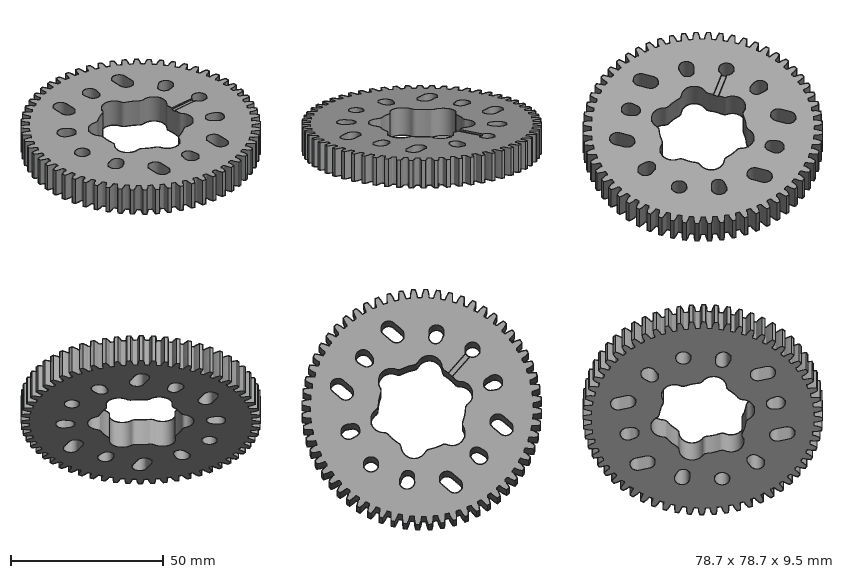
import cadquery as cq
import math

outer_size = 78.7
face_width = 9.5
teeth = 60
pressure_angle = math.radians(14.5)
addendum_factor = 1.0
clearance_factor = 0.16
flank_steps = 4

lobe_count = 6
bore_minor_radius = 14.3
bore_major_radius = 17.5
lobe_radius = 4.25
lobe_blend_radius = 2.0

bolt_circle_radius = 25.4
bolt_hole_radius = 2.5
slot_travel = 3.4
tapered_hole_spacing = 60
tapered_hole_inner_radius = 2.2
tapered_hole_inner_offset = 23.85

groove_width = 1.7
groove_depth = 0.55


def polar(radius, angle):
    return (radius * math.cos(angle), radius * math.sin(angle))


def involute(angle):
    return math.tan(angle) - angle


def gear_blank():
    """Involute gear with a tooth gap centred on each axis."""
    tooth_pitch = 2 * math.pi / teeth
    tip_ratio = 1 + 2 * addendum_factor / teeth
    base_half_angle = tooth_pitch / 4 + involute(pressure_angle)
    tip_pressure_angle = math.acos(math.cos(pressure_angle) / tip_ratio)
    tip_half_angle = base_half_angle - involute(tip_pressure_angle)

    tip_radius = outer_size / 2 / math.cos(tooth_pitch / 2 - tip_half_angle)
    pitch_radius = tip_radius / tip_ratio
    base_radius = pitch_radius * math.cos(pressure_angle)
    root_radius = pitch_radius * (1 - 2 * (addendum_factor + clearance_factor) / teeth)

    fillet_radius = (base_radius**2 - root_radius**2) / (2 * root_radius)
    fillet_centre_radius = root_radius + fillet_radius
    fillet_span = math.asin(fillet_radius / fillet_centre_radius)
    fillet_half_angle = base_half_angle + fillet_span
    fillet_x, fillet_y = polar(fillet_centre_radius, fillet_half_angle)
    middle_x, middle_y = polar(fillet_radius, base_half_angle + fillet_span / 2 - 3 * math.pi / 4)
    fillet_mid_radius = math.hypot(fillet_x + middle_x, fillet_y + middle_y)
    fillet_mid_angle = math.atan2(fillet_y + middle_y, fillet_x + middle_x)

    side = []
    for step in range(flank_steps + 1):
        radius = tip_radius - (tip_radius - base_radius) * step / flank_steps
        half_angle = base_half_angle - involute(math.acos(base_radius / radius))
        side.append((radius, half_angle))
    side.append((fillet_mid_radius, fillet_mid_angle))
    side.append((root_radius, fillet_half_angle))

    outline = cq.Workplane("XY").moveTo(*polar(tip_radius, tooth_pitch / 2 - tip_half_angle))
    for tooth in range(teeth):
        centre = (tooth + 0.5) * tooth_pitch
        next_centre = centre + tooth_pitch
        tip_end = polar(tip_radius, centre + tip_half_angle)
        gap = [polar(radius, centre + half) for radius, half in side[1:]]
        gap.append(polar(root_radius, centre + tooth_pitch / 2))
        gap += [polar(radius, next_centre - half) for radius, half in reversed(side)]
        outline = outline.threePointArc(polar(tip_radius, centre), tip_end).spline(gap, includeCurrent=True)
    return outline.close().extrude(face_width)


def lobed_bore():
    """Round bore with rounded lobes blended into it by tangent arcs."""
    lobe_pitch = 2 * math.pi / lobe_count
    lobe_offset = bore_major_radius - lobe_radius
    blend_offset = bore_minor_radius + lobe_blend_radius
    centre_distance = lobe_radius + lobe_blend_radius

    blend_angle = math.acos(
        (blend_offset**2 + lobe_offset**2 - centre_distance**2) / (2 * blend_offset * lobe_offset)
    )
    blend_x, blend_y = polar(blend_offset, blend_angle)
    lobe_share = lobe_radius / centre_distance
    tangent_x = lobe_offset + (blend_x - lobe_offset) * lobe_share
    tangent_y = blend_y * lobe_share
    tangent_radius = math.hypot(tangent_x, tangent_y)
    tangent_angle = math.atan2(tangent_y, tangent_x)

    to_bore = blend_angle + math.pi
    to_lobe = math.atan2(tangent_y - blend_y, tangent_x - blend_x) % (2 * math.pi)
    arc_x, arc_y = polar(lobe_blend_radius, (to_bore + to_lobe) / 2)
    blend_mid_radius = math.hypot(blend_x + arc_x, blend_y + arc_y)
    blend_mid_angle = math.atan2(blend_y + arc_y, blend_x + arc_x)

    outline = cq.Workplane("XY").moveTo(*polar(tangent_radius, -tangent_angle))
    for lobe in range(lobe_count):
        centre = lobe * lobe_pitch
        next_centre = centre + lobe_pitch
        lobe_top = polar(bore_major_radius, centre)
        lobe_end = polar(tangent_radius, centre + tangent_angle)
        blend_out = polar(blend_mid_radius, centre + blend_mid_angle)
        land_start = polar(bore_minor_radius, centre + blend_angle)
        land_mid = polar(bore_minor_radius, centre + lobe_pitch / 2)
        land_end = polar(bore_minor_radius, next_centre - blend_angle)
        blend_in = polar(blend_mid_radius, next_centre - blend_mid_angle)
        next_lobe = polar(tangent_radius, next_centre - tangent_angle)
        outline = (
            outline.threePointArc(lobe_top, lobe_end)
            .threePointArc(blend_out, land_start)
            .threePointArc(land_mid, land_end)
            .threePointArc(blend_in, next_lobe)
        )
    return outline.close().extrude(face_width)


def round_holes():
    """Bolt holes on the Y axis."""
    centres = [(0, bolt_circle_radius), (0, -bolt_circle_radius)]
    return cq.Workplane("XY").pushPoints(centres).circle(bolt_hole_radius).extrude(face_width)


def slots():
    """Slots along X that reach outward from bolt positions 30 degrees off the X axis."""
    bolt_x, bolt_y = polar(bolt_circle_radius, math.radians(30))
    slot_x = bolt_x + slot_travel / 2
    centres = [(side * slot_x, end * bolt_y) for side in (-1, 1) for end in (-1, 1)]
    slot_length = slot_travel + 2 * bolt_hole_radius
    return cq.Workplane("XY").pushPoints(centres).slot2D(slot_length, 2 * bolt_hole_radius).extrude(face_width)


def tapered_hole(angle):
    """Bolt hole joined by tangent lines to a smaller circle nearer the centre."""
    spacing = bolt_circle_radius - tapered_hole_inner_offset
    tangent_angle = math.acos((tapered_hole_inner_radius - bolt_hole_radius) / spacing)
    outer_x, outer_y = polar(bolt_hole_radius, tangent_angle)
    inner_x, inner_y = polar(tapered_hole_inner_radius, tangent_angle)
    outer_x += bolt_circle_radius
    inner_x += tapered_hole_inner_offset
    return (
        cq.Workplane("XY")
        .moveTo(outer_x, -outer_y)
        .threePointArc((bolt_circle_radius + bolt_hole_radius, 0), (outer_x, outer_y))
        .lineTo(inner_x, inner_y)
        .threePointArc((tapered_hole_inner_offset - tapered_hole_inner_radius, 0), (inner_x, -inner_y))
        .close()
        .extrude(face_width)
        .rotate((0, 0, 0), (0, 0, 1), angle)
    )


def groove():
    """Shallow radial groove in the top face."""
    return (
        cq.Workplane("XY", origin=(0, bolt_circle_radius / 2, face_width - groove_depth))
        .rect(groove_width, bolt_circle_radius)
        .extrude(groove_depth)
    )


result = gear_blank().cut(lobed_bore()).cut(round_holes()).cut(slots()).cut(groove())
for hole_angle in range(0, 360, tapered_hole_spacing):
    result = result.cut(tapered_hole(hole_angle))